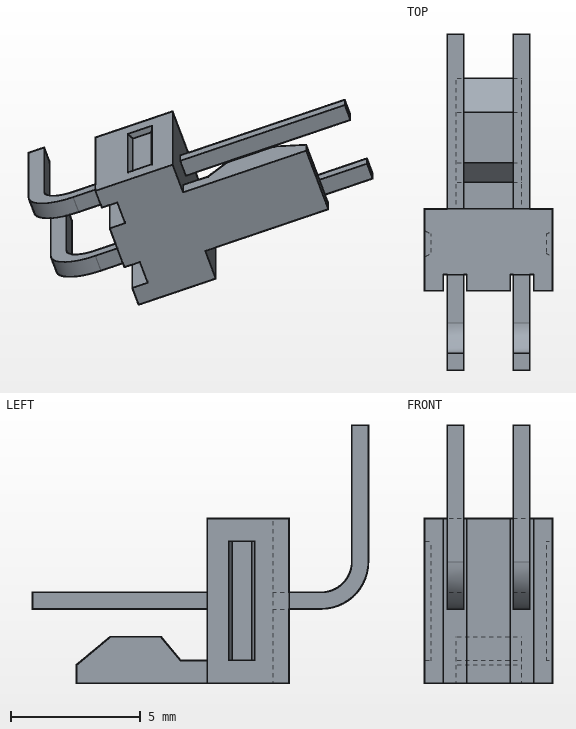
import cadquery as cq

housing_width = 4.93
housing_length = 3.15
housing_height = 6.35

overall_length = 12.93
overall_height = 9.93
pin_size = 0.65
pin_pitch = 2.53
pin_base = 2.86
pin_rear = -3.05
bend_inner_radius = 1.18
bend_outer_radius = bend_inner_radius + pin_size

groove_width = 0.89
groove_pitch = 2.57
groove_depth = 0.63

latch_width = pin_pitch
latch_length = 5.03
latch_neck_height = 0.88
latch_neck_length = 1.02
latch_head_height = 1.8
latch_head_start = 1.78
latch_head_end = 3.72
latch_tip_height = 0.71

pocket_rear = 1.32
pocket_length = 1.01
pocket_bottom = 0.89
pocket_height = 4.56
pocket_depth = 0.25
pocket_draft = 0.13

pin_positions = (-pin_pitch / 2, pin_pitch / 2)


def extrude_along_x(sketch, center_x, width):
    """Extrude a YZ profile by the given width, centred on center_x."""
    return sketch.extrude(width / 2, both=True).translate((center_x, 0, 0))


def make_housing():
    housing = cq.Workplane("XY").box(
        housing_width, housing_length, housing_height, centered=(True, False, False)
    )
    for x in (-groove_pitch / 2, groove_pitch / 2):
        groove = cq.Workplane("XY").box(
            groove_width, groove_depth, housing_height, centered=(True, False, False)
        )
        housing = housing.cut(groove.translate((x, 0, 0)))
    pocket = make_side_pocket()
    return housing.cut(pocket).cut(pocket.mirror("YZ"))


def make_side_pocket():
    """Trapezoid in plan, narrowing from the -X face to the pocket floor."""
    mouth_x = -housing_width / 2
    floor_x = mouth_x + pocket_depth
    pocket_front = pocket_rear + pocket_length
    return (
        cq.Workplane("XY", origin=(0, 0, pocket_bottom))
        .moveTo(mouth_x, pocket_rear)
        .lineTo(floor_x, pocket_rear + pocket_draft)
        .lineTo(floor_x, pocket_front - pocket_draft)
        .lineTo(mouth_x, pocket_front)
        .close()
        .extrude(pocket_height)
    )


def make_pin(center_x):
    """Horizontal leg through the housing, bent upward behind it."""
    pin_front = pin_rear + overall_length
    bend_y = pin_rear + bend_outer_radius
    bend_z = pin_base + bend_outer_radius
    sketch = (
        cq.Workplane("YZ")
        .moveTo(pin_front, pin_base)
        .lineTo(bend_y, pin_base)
        .radiusArc((pin_rear, bend_z), bend_outer_radius)
        .lineTo(pin_rear, overall_height)
        .lineTo(pin_rear + pin_size, overall_height)
        .lineTo(pin_rear + pin_size, bend_z)
        .radiusArc((bend_y, pin_base + pin_size), -bend_inner_radius)
        .lineTo(pin_front, pin_base + pin_size)
        .close()
    )
    return extrude_along_x(sketch, center_x, pin_size)


def make_latch():
    """Arm with a raised head, ramped on both sides."""
    sketch = (
        cq.Workplane("YZ", origin=(0, housing_length, 0))
        .lineTo(latch_length, 0)
        .lineTo(latch_length, latch_tip_height)
        .lineTo(latch_head_end, latch_head_height)
        .lineTo(latch_head_start, latch_head_height)
        .lineTo(latch_neck_length, latch_neck_height)
        .lineTo(0, latch_neck_height)
        .close()
    )
    return extrude_along_x(sketch, 0, latch_width)


result = make_housing().union(make_latch())
for x in pin_positions:
    result = result.union(make_pin(x))